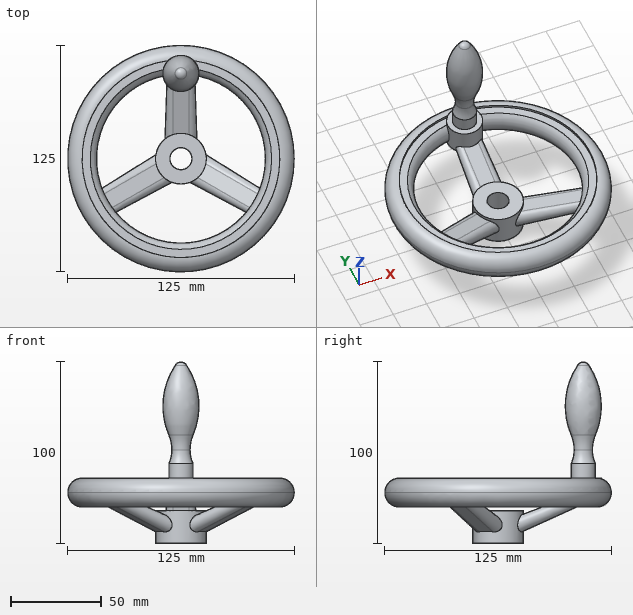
import cadquery as cq
import math

full_turn = 360.0

rim_outer_radius = 62.5
rim_section_radius = 8.0
rim_mid_z = 28.0
rim_crest_radius = rim_outer_radius - rim_section_radius
rim_step_inner_radius = 50.0

hub_radius = 14.0
hub_height = 18.0
bore_radius = 6.0

spoke_count = 3
spoke_first_angle = 90.0
spoke_flat_width = 8.8
spoke_inner_reach = 9.0
spoke_inner_z = 9.4
spoke_inner_thickness = 9.1
spoke_outer_reach = 52.0
spoke_outer_z = 27.3
spoke_outer_thickness = 6.2

handle_reach = 47.0
boss_radius = 10.0
boss_bottom_z = 21.0
boss_top_z = rim_mid_z + rim_section_radius
shank_radius = 6.7
shank_top_z = 44.0
neck_radius = 5.1
neck_z = 51.5
grip_start_z = 59.7
grip_start_radius = shank_radius
grip_radius = 10.0
grip_widest_z = 75.75
grip_end_radius = 3.2
grip_end_z = 98.1
handle_top_z = 100.0


def make_rim():
    """Revolved round section; a flat step is cut into its top, inside the crest."""
    ring = cq.Workplane("XZ").center(rim_crest_radius, rim_mid_z).circle(rim_section_radius)
    ring = ring.revolve(full_turn, (-rim_crest_radius, 0, 0), (-rim_crest_radius, 1, 0))
    step_width = rim_crest_radius - rim_step_inner_radius
    floor_z = rim_mid_z + math.sqrt(rim_section_radius**2 - step_width**2)
    step = (
        cq.Workplane("XY")
        .workplane(offset=floor_z)
        .circle(rim_crest_radius)
        .extrude(rim_section_radius)
    )
    return ring.cut(step)


def make_spoke(angle):
    """Tapered round-edged bar from inside the hub to inside the rim."""
    run = spoke_outer_reach - spoke_inner_reach
    rise = spoke_outer_z - spoke_inner_z
    section_plane = cq.Plane(
        origin=(spoke_inner_reach, 0, spoke_inner_z),
        xDir=(0, 1, 0),
        normal=(run, 0, rise),
    )
    spoke = (
        cq.Workplane(section_plane)
        .slot2D(spoke_flat_width + spoke_inner_thickness, spoke_inner_thickness)
        .workplane(offset=math.hypot(run, rise))
        .slot2D(spoke_flat_width + spoke_outer_thickness, spoke_outer_thickness)
        .loft(ruled=True)
    )
    return spoke.rotate((0, 0, 0), (0, 0, 1), angle)


def make_boss():
    """Round boss on the inner side of the rim, flush with the rim crest."""
    boss = cq.Workplane("XY").workplane(offset=boss_bottom_z).center(0, handle_reach)
    return boss.circle(boss_radius).extrude(boss_top_z - boss_bottom_z)


def arc_radius(axial_length, radial_change):
    """Radius of an arc that starts parallel to the axis and drifts radially by the given change."""
    return (axial_length**2 + radial_change**2) / (2 * radial_change)


def make_handle():
    """Turned handle: straight shank, waisted neck, barrel grip and domed tip."""
    lower_neck_arc = arc_radius(neck_z - shank_top_z, shank_radius - neck_radius)
    upper_neck_arc = arc_radius(grip_start_z - neck_z, grip_start_radius - neck_radius)
    tip_arc = arc_radius(grip_end_radius, handle_top_z - grip_end_z)
    profile = (
        cq.Workplane("XZ")
        .moveTo(0, boss_bottom_z)
        .lineTo(shank_radius, boss_bottom_z)
        .lineTo(shank_radius, shank_top_z)
        .radiusArc((neck_radius, neck_z), lower_neck_arc)
        .radiusArc((grip_start_radius, grip_start_z), upper_neck_arc)
        .threePointArc((grip_radius, grip_widest_z), (grip_end_radius, grip_end_z))
        .radiusArc((0, handle_top_z), -tip_arc)
        .close()
    )
    return profile.revolve(full_turn, (0, 0, 0), (0, 1, 0)).translate((0, handle_reach, 0))


def make_hub_cylinder(radius):
    """Cylinder on the wheel axis, as tall as the hub."""
    return cq.Workplane("XY").circle(radius).extrude(hub_height)


result = make_rim().union(make_hub_cylinder(hub_radius))
for index in range(spoke_count):
    result = result.union(make_spoke(spoke_first_angle + index * full_turn / spoke_count))
result = result.union(make_boss()).union(make_handle())
result = result.cut(make_hub_cylinder(bore_radius))